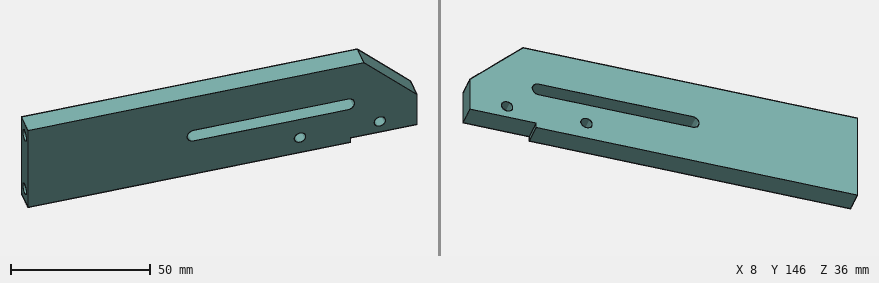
import cadquery as cq
import math

thickness = 8.0
length = 146.0
height = 36.0

corner_chamfer = 20.0
step_length = 25.0
step_depth = 2.0

slot_width = 5.0
slot_length = 62.8
slot_end_inset = 23.5
slot_height = height / 2

cross_hole_diameter = 4.2
cross_hole_height = 7.0
cross_hole_insets = (14.0, 44.0)

end_hole_diameter = 4.2
end_hole_spacing = 25.0
end_hole_center_height = 18.1
end_hole_depth = 20.0
drill_point_angle = 118


def bar_body():
    """Bar with one sloped top corner and a shallow step under the same end."""
    outline = [
        (0, 0),
        (length - step_length, 0),
        (length - step_length, step_depth),
        (length, step_depth),
        (length, height - corner_chamfer),
        (length - corner_chamfer, height),
        (0, height),
    ]
    return cq.Workplane("YZ").polyline(outline).close().extrude(thickness)


def slot_cutter():
    slot_center = length - slot_end_inset - slot_length / 2
    return (
        cq.Workplane("YZ")
        .center(slot_center, slot_height)
        .slot2D(slot_length, slot_width)
        .extrude(thickness)
    )


def cross_hole_cutter():
    centers = [(length - inset, cross_hole_height) for inset in cross_hole_insets]
    return (
        cq.Workplane("YZ")
        .pushPoints(centers)
        .circle(cross_hole_diameter / 2)
        .extrude(thickness)
    )


def end_hole_cutter(hole_height):
    """Drilled hole along +Y from the end face, finishing in a conical point."""
    radius = end_hole_diameter / 2
    point_length = radius / math.tan(math.radians(drill_point_angle / 2))
    axis_x = thickness / 2
    half_profile = [
        (0, 0),
        (radius, 0),
        (radius, end_hole_depth),
        (0, end_hole_depth + point_length),
    ]
    return (
        cq.Workplane("XY", origin=(axis_x, 0, hole_height))
        .polyline(half_profile)
        .close()
        .revolve(360, (0, 0), (0, 1))
    )


result = bar_body().cut(slot_cutter()).cut(cross_hole_cutter())
for side in (-1, 1):
    result = result.cut(end_hole_cutter(end_hole_center_height + side * end_hole_spacing / 2))